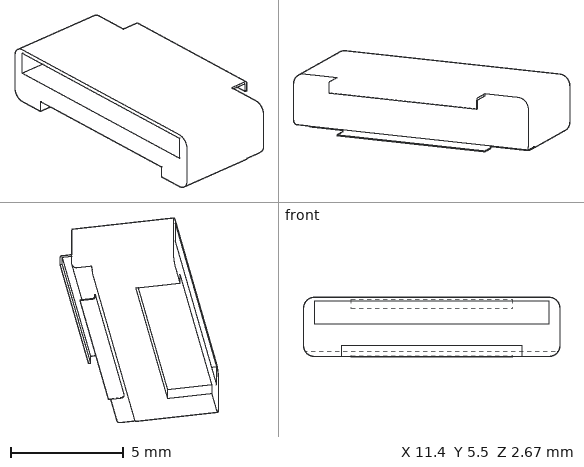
import cadquery as cq

width = 11.4
body_depth = 4.59
height = 2.67
housing_bottom = 0.02
corner_radius = 0.5

side_wall = 0.49
back_wall = 0.5
slot_width = width - 2 * side_wall
slot_bottom = 1.47
slot_top = 2.49
slot_depth = body_depth - back_wall

notch_width = 8.0
notch_height = 0.5
notch_top = housing_bottom + notch_height
notch_depth = 2.0

step_start = 3.7
step_top = 0.25
step_edge_radius = 0.23

tab_width = 7.18
tab_end = 5.5
tab_drop = 0.5
tab_thickness = 0.1

terminal_width = tab_width
terminal_start = 3.9
terminal_thickness = 0.05
terminal_bend_radius = 0.1


def centred_block(block_width, y_start, y_end, z_start, z_end):
    """Box centred on X = 0 between the given Y and Z limits."""
    return cq.Workplane("XY").box(
        block_width, y_end - y_start, z_end - z_start, centered=(True, False, False)
    ).translate((0, y_start, z_start))


def make_housing():
    """Rounded block with the rear of its underside raised and its slot and notch cut."""
    block = centred_block(width, 0, body_depth, housing_bottom, height)
    block = block.edges("|Y").fillet(corner_radius)
    step = (
        cq.Workplane("YZ")
        .moveTo(step_start, 0)
        .lineTo(step_start, step_top)
        .lineTo(body_depth - step_edge_radius, step_top)
        .radiusArc((body_depth, step_top + step_edge_radius), -step_edge_radius)
        .lineTo(body_depth, 0)
        .close()
        .extrude(width / 2, both=True)
    )
    slot = centred_block(slot_width, 0, slot_depth, slot_bottom, slot_top)
    notch = centred_block(notch_width, 0, notch_depth, housing_bottom, notch_top)
    return block.cut(step).cut(slot).cut(notch)


def make_tab():
    """Top plate running out of the rear face and bent straight down."""
    outer = centred_block(tab_width, body_depth, tab_end, height - tab_drop, height)
    outer = outer.edges(">Y and >Z").fillet(tab_thickness)
    inside = centred_block(
        tab_width, body_depth, tab_end - tab_thickness, height - tab_drop, height - tab_thickness
    )
    return outer.cut(inside)


def make_terminal():
    """Thin strip dropping from the raised underside and bent back along the Z = 0 plane."""
    outer = centred_block(terminal_width, terminal_start, body_depth, 0, step_top)
    outer = outer.edges("<Y and <Z").fillet(terminal_bend_radius)
    inside = centred_block(
        terminal_width,
        terminal_start + terminal_thickness,
        body_depth,
        terminal_thickness,
        step_top,
    )
    inside = inside.edges("<Y and <Z").fillet(terminal_bend_radius - terminal_thickness)
    return outer.cut(inside)


result = make_housing().union(make_tab()).union(make_terminal())